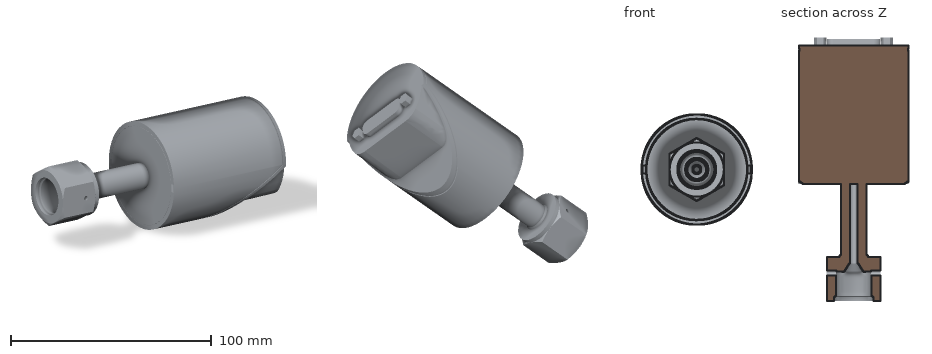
import cadquery as cq
import math

TOTAL_LENGTH = 131.2
HEX_SIDES = 6
HEX_TURN = 180 / HEX_SIDES
OVERLAP = 0.7

BODY_DIA = 55.0
BODY_LENGTH = 69.2

RING_DIA = 50.5
RING_LINE_WIDTH = 0.2
RING_LINE_DEPTH = 0.1
SLOT_OUTER_X = 26.9
SLOT_WIDTH = 4.2
SLOT_DEPTH = 1.3

SLOPE_ANGLE = 34.7
SLOPE_START_Z = -1.0
COVER_THICKNESS = 1.7
GROOVE_WIDTH = 0.7
GROOVE_DEPTH = 0.3

HOUSING_BACK_RADIUS = 26.0
HOUSING_DRAFT = 1.0
HOUSING_BOTTOM_Z = -18.2
HOUSING_CORNER_RADIUS = 8.5
HOUSING_LENGTH = 42.0

CONNECTOR_Z = -6.3
SHELL_TOP_WIDTH = 27.8
SHELL_HEIGHT = 9.3
SHELL_SIDE_ANGLE = 10.0
SHELL_CORNER_RADIUS = 3.1
SHELL_LENGTH = 2.9
SCREW_SPACING = 33.2
SCREW_FLATS = 5.4
SCREW_LENGTH = 3.8

TUBE_DIA = 13.1
TUBE_BORE_DIA = 3.4

NUT_END_Y = BODY_LENGTH + SCREW_LENGTH - TOTAL_LENGTH
NUT_FLATS = 27.0
NUT_LENGTH = 20.0
NUT_CHAMFER_ANGLE = 30.0
COLLAR_LENGTH = 2.4
WELD_DIA = 14.7
WELD_LENGTH = 0.9
NUT_BORE_DIA = 17.6
NUT_MOUTH_DIA = 19.3
NUT_MOUTH_DEPTH = 2.1
NUT_MOUTH_TAPER = 0.5
WEEP_HOLE_DIA = 2.2
WEEP_HOLE_DEPTH = 14.2

GLAND_DEPTH = 14.7
BEAD_OUTER_DIA = 11.5
BEAD_INNER_DIA = 9.5
BEAD_HEIGHT = 0.4
CONE_BOTTOM_DIA = 4.5
CONE_DEPTH = 4.0


def rod(y_start, length, dia):
    """Solid cylinder along +Y."""
    return cq.Workplane("XZ", origin=(0, y_start, 0)).circle(dia / 2).extrude(-length)


def cone(y_start, length, start_dia, end_dia):
    """Solid cone frustum along +Y."""
    frustum = cq.Solid.makeCone(
        start_dia / 2, end_dia / 2, length, cq.Vector(0, y_start, 0), cq.Vector(0, 1, 0)
    )
    return cq.Workplane(frustum)


def behind_cover(inset):
    """Region behind the cover's outer face after that face is moved forward by inset."""
    slope = math.radians(SLOPE_ANGLE)
    reach = BODY_DIA
    back_y = BODY_LENGTH - inset
    kink_z = SLOPE_START_Z + inset * (1 - math.sin(slope)) / math.cos(slope)
    outline = [
        (back_y, reach),
        (back_y, kink_z),
        (back_y - reach / math.tan(slope), kink_z - reach),
        (BODY_LENGTH + reach, kink_z - reach),
        (BODY_LENGTH + reach, reach),
    ]
    return cq.Workplane("YZ").polyline(outline).close().extrude(BODY_DIA, both=True)


def make_body():
    body = rod(0, BODY_LENGTH, BODY_DIA).cut(behind_cover(0))

    groove_band = behind_cover(COVER_THICKNESS + GROOVE_WIDTH).cut(behind_cover(COVER_THICKNESS))
    groove_core = rod(0, BODY_LENGTH, BODY_DIA - 2 * GROOVE_DEPTH)
    body = body.cut(groove_band.cut(groove_core))

    ring_disc = rod(0, RING_LINE_DEPTH, RING_DIA)
    ring_core = rod(0, RING_LINE_DEPTH, RING_DIA - 2 * RING_LINE_WIDTH)
    body = body.cut(ring_disc.cut(ring_core))

    for side in (-1, 1):
        slot_profile = [
            (side * RING_DIA / 2, 0),
            (side * SLOT_OUTER_X, 0),
            (side * SLOT_OUTER_X, SLOT_DEPTH),
        ]
        slot = cq.Workplane("XY").polyline(slot_profile).close().extrude(SLOT_WIDTH / 2, both=True)
        body = body.cut(slot)
    return body


def make_housing():
    growth = HOUSING_LENGTH * math.tan(math.radians(HOUSING_DRAFT))
    front_y = BODY_LENGTH - HOUSING_LENGTH
    housing = cone(front_y, HOUSING_LENGTH, 2 * (HOUSING_BACK_RADIUS + growth), 2 * HOUSING_BACK_RADIUS)

    below_bottom = [
        (BODY_LENGTH, HOUSING_BOTTOM_Z),
        (front_y, HOUSING_BOTTOM_Z - growth),
        (front_y, -BODY_DIA),
        (BODY_LENGTH, -BODY_DIA),
    ]
    housing = housing.cut(cq.Workplane("YZ").polyline(below_bottom).close().extrude(BODY_DIA, both=True))
    bottom_edges = cq.selectors.BoxSelector(
        (-BODY_DIA, front_y + OVERLAP, HOUSING_BOTTOM_Z - growth),
        (BODY_DIA, BODY_LENGTH - OVERLAP, HOUSING_BOTTOM_Z),
    )
    housing = housing.edges(bottom_edges).fillet(HOUSING_CORNER_RADIUS)
    housing = housing.intersect(rod(0, BODY_LENGTH, BODY_DIA))
    return housing.intersect(behind_cover(OVERLAP))


def make_connector():
    top_z = CONNECTOR_Z + SHELL_HEIGHT / 2
    bottom_z = CONNECTOR_Z - SHELL_HEIGHT / 2
    top_x = SHELL_TOP_WIDTH / 2
    bottom_x = top_x - SHELL_HEIGHT * math.tan(math.radians(SHELL_SIDE_ANGLE))
    start_y = BODY_LENGTH - OVERLAP
    connector = (
        cq.Workplane("XZ", origin=(0, start_y, 0))
        .polyline([(-top_x, top_z), (top_x, top_z), (bottom_x, bottom_z), (-bottom_x, bottom_z)])
        .close()
        .extrude(-(SHELL_LENGTH + OVERLAP))
        .edges("|Y")
        .fillet(SHELL_CORNER_RADIUS)
    )
    for screw_x in (-SCREW_SPACING / 2, SCREW_SPACING / 2):
        screw = (
            cq.Workplane("XZ", origin=(screw_x, start_y, CONNECTOR_Z))
            .transformed(rotate=(0, 0, HEX_TURN))
            .polygon(HEX_SIDES, SCREW_FLATS, circumscribed=True)
            .extrude(-(SCREW_LENGTH + OVERLAP))
        )
        connector = connector.union(screw)
    return connector


def make_nut():
    nut_back_y = NUT_END_Y + NUT_LENGTH
    nut = (
        cq.Workplane("XZ", origin=(0, NUT_END_Y, 0))
        .polygon(HEX_SIDES, NUT_FLATS, circumscribed=True)
        .extrude(-NUT_LENGTH)
    )
    cone_growth = NUT_LENGTH / math.tan(math.radians(NUT_CHAMFER_ANGLE))
    wide_dia = NUT_FLATS + 2 * cone_growth
    nut = nut.intersect(cone(NUT_END_Y, NUT_LENGTH, NUT_FLATS, wide_dia))
    nut = nut.intersect(cone(NUT_END_Y, NUT_LENGTH, wide_dia, NUT_FLATS))

    nut = nut.cut(rod(NUT_END_Y, NUT_LENGTH, NUT_BORE_DIA))
    nut = nut.cut(rod(NUT_END_Y, NUT_MOUTH_DEPTH, NUT_MOUTH_DIA))
    nut = nut.cut(cone(NUT_END_Y + NUT_MOUTH_DEPTH, NUT_MOUTH_TAPER, NUT_MOUTH_DIA, NUT_BORE_DIA))
    weep_hole = (
        cq.Workplane("YZ", origin=(0, NUT_END_Y + WEEP_HOLE_DEPTH, 0))
        .circle(WEEP_HOLE_DIA / 2)
        .extrude(NUT_FLATS, both=True)
    )
    nut = nut.cut(weep_hole)

    collar = rod(nut_back_y, COLLAR_LENGTH, NUT_FLATS)
    weld = cone(nut_back_y + COLLAR_LENGTH, WELD_LENGTH, WELD_DIA, TUBE_DIA)
    return nut.union(collar).union(weld)


def make_gland_and_tube():
    gland_y = NUT_END_Y + GLAND_DEPTH
    bead_y = gland_y - BEAD_HEIGHT
    gland = rod(gland_y, NUT_LENGTH - GLAND_DEPTH, NUT_BORE_DIA)
    bead = cone(bead_y, BEAD_HEIGHT, (BEAD_OUTER_DIA + BEAD_INNER_DIA) / 2, BEAD_OUTER_DIA)
    tube = rod(gland_y, OVERLAP - gland_y, TUBE_DIA)
    return gland.union(bead).union(tube)


def make_gland_bore():
    gland_y = NUT_END_Y + GLAND_DEPTH
    bead_y = gland_y - BEAD_HEIGHT
    bead_mouth = cone(bead_y, BEAD_HEIGHT, (BEAD_OUTER_DIA + BEAD_INNER_DIA) / 2, BEAD_INNER_DIA)
    seat = cone(gland_y, CONE_DEPTH, BEAD_INNER_DIA, CONE_BOTTOM_DIA)
    bore = rod(gland_y, -gland_y, TUBE_BORE_DIA)
    return bead_mouth.union(seat).union(bore)


outside = make_body().union(make_housing()).union(make_connector())
outside = outside.union(make_nut()).union(make_gland_and_tube())
result = outside.cut(make_gland_bore())